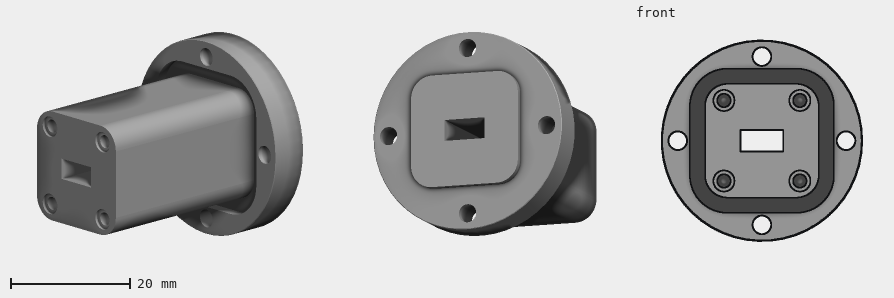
import cadquery as cq

block_length = 38.1
block_side = 19.05
block_corner_radius = 3.75

flange_diameter = 33.65
flange_thickness = 6.4
flange_setback = 1.5
flange_edge_chamfer = 0.1
flange_front = block_length - flange_setback - flange_thickness

recess_gap = 2.55
recess_depth = 1.9
recess_side = block_side + 2 * recess_gap
recess_corner_radius = block_corner_radius + recess_gap

flange_hole_diameter = 3.1
flange_hole_circle_radius = 14.1
flange_hole_count = 4

waveguide_width = 7.12
waveguide_height = 3.55

screw_spacing_x = 12.73
screw_spacing_z = 13.5
screw_hole_diameter = 2.25
screw_hole_depth = 6.1
counterbore_diameter = 3.55
counterbore_depth = 0.5


def plane_at(y):
    """Plane facing +Y, with its local x along X and local y along -Z."""
    return cq.Workplane(cq.Plane(origin=(0, y, 0), xDir=(1, 0, 0), normal=(0, 1, 0)))


def rounded_square(y, side, corner_radius, length):
    """Rounded square prism that starts at y and runs toward +Y."""
    return plane_at(y).rect(side, side).extrude(length).edges("|Y").fillet(corner_radius)


def make_flange():
    disc = plane_at(flange_front).circle(flange_diameter / 2).extrude(flange_thickness)
    disc = disc.edges().chamfer(flange_edge_chamfer)
    recess = rounded_square(flange_front, recess_side, recess_corner_radius, recess_depth)
    holes = (
        plane_at(flange_front)
        .polarArray(flange_hole_circle_radius, 0, 360, flange_hole_count)
        .circle(flange_hole_diameter / 2)
        .extrude(flange_thickness)
    )
    return disc.cut(recess).cut(holes)


def screw_cylinders(diameter, depth):
    return (
        plane_at(0)
        .rect(screw_spacing_x, screw_spacing_z, forConstruction=True)
        .vertices()
        .circle(diameter / 2)
        .extrude(depth)
    )


block = rounded_square(0, block_side, block_corner_radius, block_length)
waveguide = plane_at(0).rect(waveguide_width, waveguide_height).extrude(block_length)

result = (
    block.union(make_flange())
    .cut(waveguide)
    .cut(screw_cylinders(screw_hole_diameter, screw_hole_depth))
    .cut(screw_cylinders(counterbore_diameter, counterbore_depth))
)